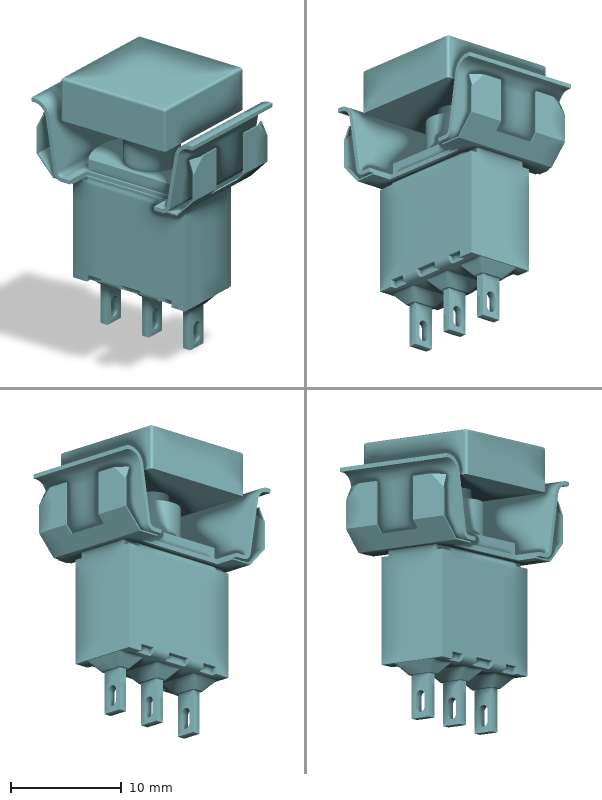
import cadquery as cq
import math


HOUSING_LENGTH = 12.62
HOUSING_WIDTH = 6.9
HOUSING_BOTTOM = 5.05
HOUSING_TOP = 15.45
CENTRE_LENGTH = 9.53
SHOULDER_RADIUS = 0.77
CORNER_LEDGE_HEIGHT = 0.52
RECESS_HEIGHT = 0.67
RECESS_DEPTH = 0.55
TAB_SPACING = 4.38
TAB_LENGTH = 1.93
TAB_RADIUS = 0.57

LEAD_PITCH = 4.65
LEAD_THICKNESS = 0.8
LEAD_WIDTH = 1.98
SLOT_LENGTH = 1.98
SLOT_WIDTH = 0.98
SLOT_HEIGHT = 1.52
SEAL_LENGTH = 3.05
SEAL_WIDTH = 4.35
SEAL_HEIGHT = 1.03
SEAL_TAPER = 41.0
SEAL_EDGE_RADIUS = 0.35

PLATE_DIAMETER = 11.48
PLATE_WIDTH = 6.45
PLATE_TOP = 17.07
BUSHING_DIAMETER = 5.2
BUSHING_TOP = 20.45
NECK_DIAMETER = 3.1
CAP_SIDE = 11.8
CAP_BOTTOM = 21.58
CAP_TOP = 25.75
CAP_FILLET = 0.25

SPRING_THICKNESS = 0.13
SPRING_WIDTH = 11.1
SPRING_CENTRE_WIDTH = 7.2
SPRING_BASE_HALF = 7.0
SPRING_HALF = 8.85
SPRING_BEND_Z = 17.38
SPRING_TOP = 21.4
SPRING_GAP_WIDTH = 4.17
SPRING_GAP_BOTTOM = 16.65
FOLD_LEG = 1.42
FOLD_ANGLE = 35.0

BRACKET_THICKNESS = 0.39
BRACKET_WIDTH = 12.08
BRACKET_LENGTH = 18.15
BRACKET_FLAT_HALF = 5.66
BRACKET_TOP = 23.02
ARM_TURN = math.radians(80)
LOWER_BEND_RADIUS = 0.52
UPPER_BEND_RADIUS = 1.65

spring_floor_top = HOUSING_TOP + SPRING_THICKNESS
bracket_floor_top = spring_floor_top + BRACKET_THICKNESS


def box(length, width, bottom, top):
    """Block centred on the Z axis between two heights."""
    return cq.Workplane("XY").workplane(offset=bottom).rect(length, width).extrude(top - bottom)


def cylinder(diameter, bottom, top):
    return cq.Workplane("XY").workplane(offset=bottom).circle(diameter / 2).extrude(top - bottom)


def both_sides(solid, plane):
    return solid.union(solid.mirror(plane))


def make_housing():
    housing = box(HOUSING_LENGTH, HOUSING_WIDTH, HOUSING_BOTTOM, HOUSING_TOP)

    middle = box(CENTRE_LENGTH, HOUSING_WIDTH, HOUSING_BOTTOM, HOUSING_TOP)
    rounded_middle = middle.faces(">Z").edges("|X").fillet(SHOULDER_RADIUS)
    housing = housing.cut(middle.cut(rounded_middle))

    ledge_length = (HOUSING_LENGTH - CENTRE_LENGTH) / 2
    ledge_x = (HOUSING_LENGTH - ledge_length) / 2
    ledge_y = (HOUSING_WIDTH - SHOULDER_RADIUS) / 2
    ledge = box(ledge_length, SHOULDER_RADIUS, HOUSING_TOP - CORNER_LEDGE_HEIGHT, HOUSING_TOP)
    for x in (-ledge_x, ledge_x):
        for y in (-ledge_y, ledge_y):
            housing = housing.cut(ledge.translate((x, y, 0)))

    recess_top = HOUSING_BOTTOM + RECESS_HEIGHT
    recess_y = (HOUSING_WIDTH - RECESS_DEPTH) / 2
    recess = box(CENTRE_LENGTH, RECESS_DEPTH, HOUSING_BOTTOM, recess_top).translate((0, recess_y, 0))
    housing = housing.cut(both_sides(recess, "XZ"))
    tab = box(TAB_LENGTH, HOUSING_WIDTH, HOUSING_BOTTOM, recess_top)
    tab = tab.faces("<Z").edges("|X").fillet(TAB_RADIUS).translate((TAB_SPACING / 2, 0, 0))
    return housing.union(both_sides(tab, "YZ"))


def make_terminal():
    """Flat lead with a solder slot, in a tapered seal."""
    seal = (
        cq.Workplane("XY", origin=(0, 0, HOUSING_BOTTOM))
        .rect(SEAL_LENGTH, SEAL_WIDTH)
        .extrude(-SEAL_HEIGHT, taper=SEAL_TAPER)
        .edges("not(#Z)")
        .fillet(SEAL_EDGE_RADIUS)
    )
    lead = box(LEAD_THICKNESS, LEAD_WIDTH, 0, HOUSING_BOTTOM)
    slot = (
        cq.Workplane("YZ", origin=(-LEAD_THICKNESS / 2, 0, SLOT_HEIGHT))
        .slot2D(SLOT_LENGTH, SLOT_WIDTH, 90)
        .extrude(LEAD_THICKNESS)
    )
    return seal.union(lead.cut(slot))


def make_button():
    """Top plate, bushing, neck and square cap."""
    plate = cylinder(PLATE_DIAMETER, HOUSING_TOP, PLATE_TOP)
    plate = plate.intersect(box(PLATE_DIAMETER, PLATE_WIDTH, HOUSING_TOP, PLATE_TOP))
    bushing = cylinder(BUSHING_DIAMETER, PLATE_TOP, BUSHING_TOP)
    neck = cylinder(NECK_DIAMETER, BUSHING_TOP, CAP_BOTTOM)
    cap = box(CAP_SIDE, CAP_SIDE, CAP_BOTTOM, CAP_TOP).edges("|Z or >Z").fillet(CAP_FILLET)
    return plate.union(bushing).union(neck).union(cap)


def extrude_sheet(profile, width):
    """Extrude an XZ outline of the +X half to a centred width and add its mirror image."""
    return both_sides(profile.extrude(width / 2, both=True), "YZ")


def narrow_centre(sheet, width, floor_top):
    """Trim the floor of a sheet to a smaller width between its two ends."""
    middle = box(CENTRE_LENGTH, BRACKET_WIDTH, HOUSING_TOP, floor_top)
    middle = middle.cut(box(CENTRE_LENGTH, width, HOUSING_TOP, floor_top))
    return sheet.cut(middle)


def make_spring():
    slope = math.atan2(SPRING_BEND_Z - HOUSING_TOP, SPRING_HALF - SPRING_BASE_HALF)
    base_shift = SPRING_THICKNESS * math.tan(slope / 2)
    bend_shift = SPRING_THICKNESS * math.tan((math.pi / 2 - slope) / 2)
    inner_x = SPRING_HALF - SPRING_THICKNESS
    profile = cq.Workplane("XZ").polyline([
        (0, HOUSING_TOP),
        (SPRING_BASE_HALF, HOUSING_TOP),
        (SPRING_HALF, SPRING_BEND_Z),
        (SPRING_HALF, SPRING_TOP),
        (inner_x, SPRING_TOP),
        (inner_x, SPRING_BEND_Z + bend_shift),
        (SPRING_BASE_HALF - base_shift, spring_floor_top),
        (0, spring_floor_top),
    ]).close()
    spring = extrude_sheet(profile, SPRING_WIDTH)
    spring = spring.cut(box(2 * SPRING_HALF, SPRING_GAP_WIDTH, SPRING_GAP_BOTTOM, SPRING_TOP))

    side_y = SPRING_WIDTH / 2
    fold_start = (SPRING_HALF, side_y - FOLD_LEG, SPRING_TOP)
    fold_end = (SPRING_HALF, side_y, SPRING_TOP - FOLD_LEG)
    corner = (
        cq.Workplane("YZ", origin=(inner_x, 0, 0))
        .polyline([fold_start[1:], (side_y, SPRING_TOP), fold_end[1:]])
        .close()
        .extrude(SPRING_THICKNESS)
    )
    folded = corner.rotate(fold_start, fold_end, -FOLD_ANGLE)
    corners = both_sides(both_sides(corner, "XZ"), "YZ")
    folded_corners = both_sides(both_sides(folded, "XZ"), "YZ")
    spring = spring.cut(corners).union(folded_corners)
    return narrow_centre(spring, SPRING_CENTRE_WIDTH, spring_floor_top)


def make_bracket():
    """Sheet with a flat floor and two arms that flare outwards at the top."""
    lower_centre = (BRACKET_FLAT_HALF, bracket_floor_top + LOWER_BEND_RADIUS)
    rise = BRACKET_TOP - UPPER_BEND_RADIUS - lower_centre[1]
    radius_sum = LOWER_BEND_RADIUS + UPPER_BEND_RADIUS
    run = (rise * math.cos(ARM_TURN) + radius_sum) / math.sin(ARM_TURN)
    upper_centre = (BRACKET_FLAT_HALF + run, BRACKET_TOP - UPPER_BEND_RADIUS)

    def lower_bend(turn, depth):
        radius = LOWER_BEND_RADIUS + depth
        return (lower_centre[0] + radius * math.sin(turn), lower_centre[1] - radius * math.cos(turn))

    def upper_bend(turn, depth):
        radius = UPPER_BEND_RADIUS - depth
        return (upper_centre[0] - radius * math.sin(turn), upper_centre[1] + radius * math.cos(turn))

    half_turn = ARM_TURN / 2
    t = BRACKET_THICKNESS
    profile = (
        cq.Workplane("XZ")
        .moveTo(0, bracket_floor_top)
        .lineTo(*lower_bend(0, 0))
        .threePointArc(lower_bend(half_turn, 0), lower_bend(ARM_TURN, 0))
        .lineTo(*upper_bend(ARM_TURN, 0))
        .threePointArc(upper_bend(half_turn, 0), upper_bend(0, 0))
        .lineTo(BRACKET_LENGTH / 2, BRACKET_TOP)
        .lineTo(BRACKET_LENGTH / 2, BRACKET_TOP - t)
        .lineTo(*upper_bend(0, t))
        .threePointArc(upper_bend(half_turn, t), upper_bend(ARM_TURN, t))
        .lineTo(*lower_bend(ARM_TURN, t))
        .threePointArc(lower_bend(half_turn, t), lower_bend(0, t))
        .lineTo(0, spring_floor_top)
        .close()
    )
    return narrow_centre(extrude_sheet(profile, BRACKET_WIDTH), HOUSING_WIDTH, bracket_floor_top)


result = make_housing()
terminal = make_terminal()
for x in (-LEAD_PITCH, 0, LEAD_PITCH):
    result = result.union(terminal.translate((x, 0, 0)))
for component in (make_spring(), make_bracket(), make_button()):
    result = result.union(component)